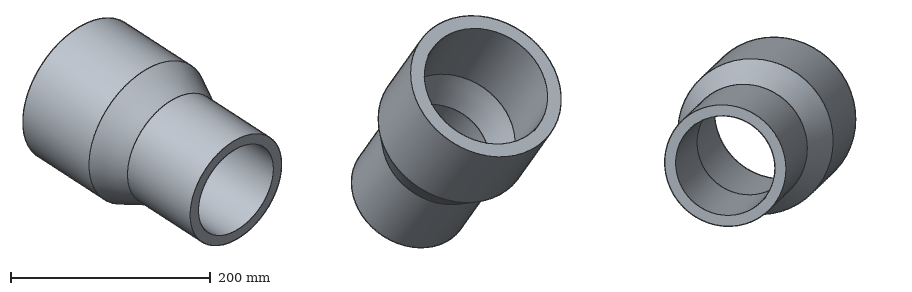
import cadquery as cq

total_length = 228.0
wide_length = 97.8
narrow_length = 92.3

wide_outer_diameter = 160.0
wide_bore_diameter = 130.9
narrow_outer_diameter = 125.0
narrow_bore_diameter = 102.1

taper_start = wide_length
taper_end = total_length - narrow_length


def stepped_body(wide_diameter, narrow_diameter):
    """Solid of revolution: wide cylinder, conical taper, narrow cylinder."""
    wide_radius = wide_diameter / 2
    narrow_radius = narrow_diameter / 2
    return (
        cq.Workplane("XY")
        .moveTo(0, 0)
        .lineTo(0, wide_radius)
        .lineTo(taper_start, wide_radius)
        .lineTo(taper_end, narrow_radius)
        .lineTo(total_length, narrow_radius)
        .lineTo(total_length, 0)
        .close()
        .revolve(360, (0, 0, 0), (1, 0, 0))
    )


outside = stepped_body(wide_outer_diameter, narrow_outer_diameter)
bore = stepped_body(wide_bore_diameter, narrow_bore_diameter)

result = outside.cut(bore)